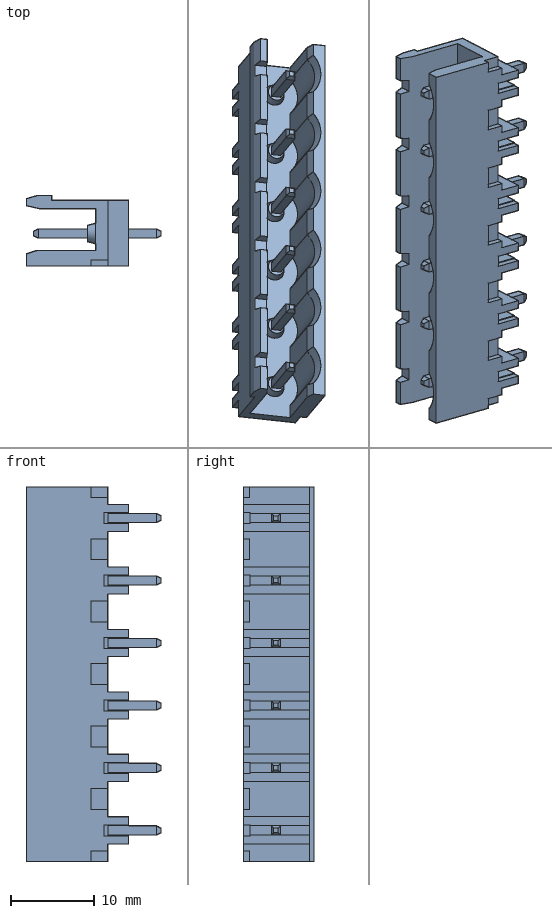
import cadquery as cq

PIN_COUNT = 6
LENGTH = 45.0
PITCH = LENGTH / PIN_COUNT
PIN_HEIGHTS = [(i + 0.5) * PITCH for i in range(PIN_COUNT)]
CELL_BOUNDARIES = [i * PITCH for i in range(PIN_COUNT + 1)]
PIN_Y = 3.9

BACK_X = 9.8
FLOOR_X = 8.32
FRONT_INNER_Y = 1.9
REAR_INNER_Y = 6.9
REAR_OUTER_Y = 7.9
FRONT_LEAD_IN = 1.2
FRONT_TIP_Y = 1.5
HOOK_Y = 8.5
HOOK_LENGTH = 3.05
HOOK_TIP_OUTER_Y = 8.1
HOOK_TIP_INNER_Y = 7.25
HOOK_OUTER_LEAD_IN = 1.35
HOOK_INNER_LEAD_IN = 1.58

NOTCH_DEPTH = 1.12
NOTCH_FLOOR_WIDTH = 1.4
NOTCH_MOUTH_WIDTH = 1.75

SCALLOP_RADIUS = 2.95
SCALLOP_FLARE = 0.4

POCKET_X = 7.8
POCKET_WIDTH = 2.5
POCKET_DEPTH = 0.75

STANDOFF_X = 12.3
STANDOFF_HEIGHT = 3.3

RECESS_X = 9.3
RECESS_HEIGHT = 1.3
RECESS_DEPTH = 0.8

PIN_SIZE = 1.12
PIN_TIP_SIZE = 0.55
PIN_START_X = 0.85
PIN_END_X = 16.2
PIN_TAPER = 0.6
COLLAR_START_X = 7.35
COLLAR_BASE_RADIUS = 1.25
COLLAR_TIP_RADIUS = 1.0


def box(x_range, y_range, z_range):
    """Axis-aligned box between the given limits."""
    lows, highs = zip(x_range, y_range, z_range)
    sizes = [high - low for low, high in zip(lows, highs)]
    return cq.Workplane("XY").box(*sizes, centered=False).translate(lows)


def centred(middle, width):
    """Limits of a span of the given width about its middle."""
    return (middle - width / 2, middle + width / 2)


def cone_along_x(start_x, end_x, start_radius, end_radius, z):
    """Round frustum on a pin axis."""
    return cq.Workplane(
        cq.Solid.makeCone(
            start_radius, end_radius, end_x - start_x,
            cq.Vector(start_x, PIN_Y, z), cq.Vector(1, 0, 0),
        )
    )


def housing():
    outline = [
        (0, 0),
        (BACK_X, 0),
        (BACK_X, REAR_OUTER_Y),
        (HOOK_LENGTH, REAR_OUTER_Y),
        (HOOK_LENGTH, HOOK_Y),
        (HOOK_OUTER_LEAD_IN, HOOK_Y),
        (0, HOOK_TIP_OUTER_Y),
        (0, HOOK_TIP_INNER_Y),
        (HOOK_INNER_LEAD_IN, REAR_INNER_Y),
        (FLOOR_X, REAR_INNER_Y),
        (FLOOR_X, FRONT_INNER_Y),
        (FRONT_LEAD_IN, FRONT_INNER_Y),
        (0, FRONT_TIP_Y),
    ]
    return cq.Workplane("XY").polyline(outline).close().extrude(LENGTH)


def scallop(z):
    """Bore with a flared mouth, limited to the front half of the housing."""
    outer_radius = SCALLOP_RADIUS + SCALLOP_FLARE
    profile = [
        (0, PIN_Y),
        (0, PIN_Y - outer_radius),
        (FRONT_LEAD_IN, PIN_Y - SCALLOP_RADIUS),
        (FLOOR_X, PIN_Y - SCALLOP_RADIUS),
        (FLOOR_X, PIN_Y),
    ]
    turned = (
        cq.Workplane("XY")
        .polyline(profile)
        .close()
        .revolve(360, (0, PIN_Y, 0), (1, PIN_Y, 0))
        .translate((0, 0, z))
    )
    front_half = box((0, FLOOR_X), (0, PIN_Y), centred(z, 2 * outer_radius))
    return turned.intersect(front_half)


def hook_notch(z):
    """Trapezoidal notch through the tip of the rear wall."""
    profile = [
        (0, z - NOTCH_MOUTH_WIDTH / 2),
        (NOTCH_DEPTH, z - NOTCH_FLOOR_WIDTH / 2),
        (NOTCH_DEPTH, z + NOTCH_FLOOR_WIDTH / 2),
        (0, z + NOTCH_MOUTH_WIDTH / 2),
    ]
    return (
        cq.Workplane("XZ", origin=(0, HOOK_Y, 0))
        .polyline(profile)
        .close()
        .extrude(HOOK_Y - REAR_INNER_Y)
    )


def pocket(z):
    return box((POCKET_X, BACK_X), (0, POCKET_DEPTH), centred(z, POCKET_WIDTH))


def standoff(z):
    x_range = (BACK_X, STANDOFF_X)
    y_range = (0, REAR_OUTER_Y)
    block = box(x_range, y_range, centred(z, STANDOFF_HEIGHT))
    channel = box(x_range, y_range, centred(z, PIN_SIZE))
    return block.cut(channel)


def recess(z):
    return box((RECESS_X, STANDOFF_X), (0, RECESS_DEPTH), centred(z, RECESS_HEIGHT))


def pin_taper(tip_x, shank_x, z):
    return (
        cq.Workplane("YZ", origin=(shank_x, PIN_Y, z))
        .rect(PIN_SIZE, PIN_SIZE)
        .workplane(offset=tip_x - shank_x)
        .rect(PIN_TIP_SIZE, PIN_TIP_SIZE)
        .loft()
    )


def pin(z):
    shank_start = PIN_START_X + PIN_TAPER
    shank_end = PIN_END_X - PIN_TAPER
    shank = box((shank_start, shank_end), centred(PIN_Y, PIN_SIZE), centred(z, PIN_SIZE))
    entry = pin_taper(PIN_START_X, shank_start, z)
    tail = pin_taper(PIN_END_X, shank_end, z)
    return shank.union(entry).union(tail)


def collar(z):
    return cone_along_x(COLLAR_START_X, FLOOR_X, COLLAR_TIP_RADIUS, COLLAR_BASE_RADIUS, z)


result = housing()
for boundary in CELL_BOUNDARIES:
    result = result.cut(pocket(boundary))
for height in PIN_HEIGHTS:
    result = result.cut(scallop(height)).cut(hook_notch(height))
    result = result.union(standoff(height)).cut(recess(height))
    result = result.union(collar(height)).union(pin(height))